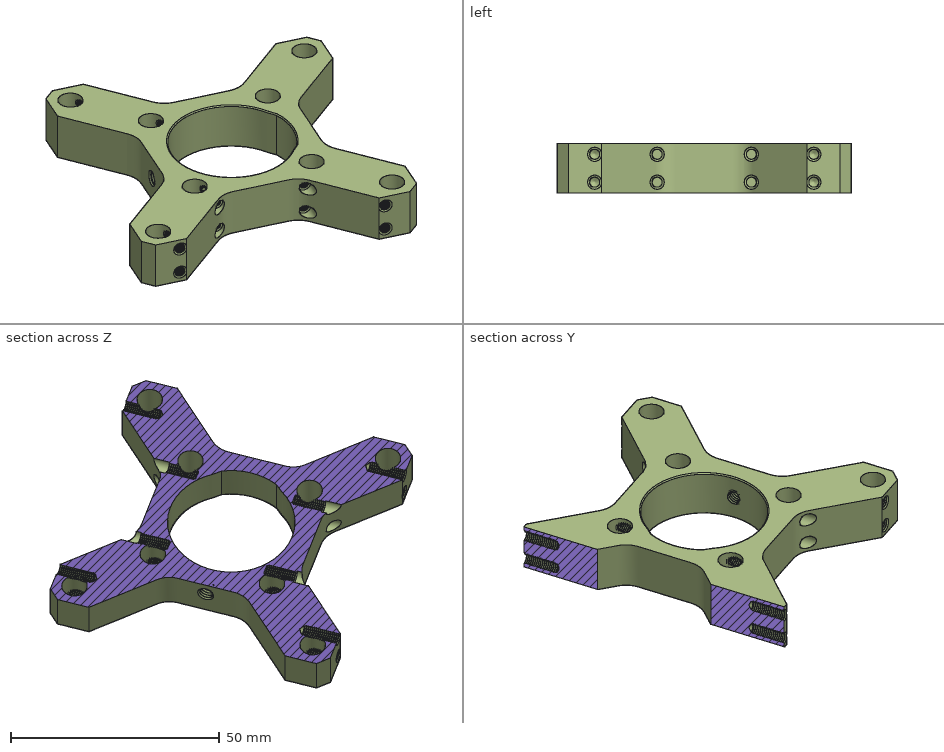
import math

import cadquery as cq

thickness = 12.0
hub_width = 40.8
arm_width = 15.0
arm_tip_overhang = 5.6
hub_arm_fillet = 6.5

clearance_diameter = 6.0
inner_hole_offset = 15.0
outer_hole_offset = 30.0

bore_radius = 15.25
relief_radius = 15.75
relief_half_angle = 26.0
blend_angle = 9.0
bore_chamfer = 0.3

clamp_minor_diameter = 3.2
clamp_major_diameter = 4.0
clamp_pitch = 0.7
clamp_thread_turns = 9

side_minor_diameter = 2.4
side_major_diameter = 3.0
side_mouth_diameter = 3.4
side_pitch = 0.5
side_hole_spacing_z = 6.7
side_hole_inset = 3.7
inner_thread_setback = 0.7
inner_thread_turns = 15
outer_thread_turns = 18
drill_point_angle = 118.0

half_thickness = thickness / 2
half_hub = hub_width / 2
outer_reach = outer_hole_offset + arm_width / 2 / math.sqrt(2)


def make_arm(angle):
    """One diagonal arm with its end bevelled to a blunt tip."""
    half_width = arm_width / 2
    bevel_start = outer_hole_offset * math.sqrt(2)
    tip = bevel_start + arm_tip_overhang
    tip_half_width = half_width - arm_tip_overhang
    outline = [
        (0, -half_width),
        (bevel_start, -half_width),
        (tip, -tip_half_width),
        (tip, tip_half_width),
        (bevel_start, half_width),
        (0, half_width),
    ]
    arm = cq.Workplane("XY", origin=(0, 0, -half_thickness)).polyline(outline).close().extrude(thickness)
    return arm.rotate((0, 0, 0), (0, 0, 1), angle)


def inside_corner_selector():
    """Selects the eight vertical edges where the arms leave the hub."""
    near = half_hub - arm_width / math.sqrt(2)
    reach = 0.1
    corners = [
        (x_side * x, y_side * y)
        for x_side in (-1, 1)
        for y_side in (-1, 1)
        for x, y in ((near, half_hub), (half_hub, near))
    ]
    boxes = [
        cq.selectors.BoxSelector((x - reach, y - reach, -thickness), (x + reach, y + reach, thickness))
        for x, y in corners
    ]
    selector = boxes[0]
    for box in boxes[1:]:
        selector = selector + box
    return selector


def make_plate():
    """Hub and arms joined, with rounded inside corners."""
    plate = cq.Workplane("XY").box(hub_width, hub_width, thickness)
    for angle in (45, 135, 225, 315):
        plate = plate.union(make_arm(angle))
    return plate.edges("|Z").edges(inside_corner_selector()).fillet(hub_arm_fillet)


def bore_point(radius, angle_from_y):
    """Point on a circle about the bore axis, measured clockwise from +Y."""
    angle = math.radians(angle_from_y)
    return (radius * math.sin(angle), radius * math.cos(angle))


def bore_outline(z, growth):
    """Closed bore outline at height z, offset outward by growth."""
    bore = bore_radius + growth
    relief = relief_radius + growth
    bore_end = relief_half_angle + blend_angle
    return (
        cq.Workplane("XY", origin=(0, 0, z))
        .moveTo(*bore_point(relief, -relief_half_angle))
        .threePointArc((0, relief), bore_point(relief, relief_half_angle))
        .lineTo(*bore_point(bore, bore_end))
        .threePointArc((0, -bore), bore_point(bore, -bore_end))
        .close()
    )


def make_bore():
    """Relieved bore, chamfered at the top and bottom faces."""
    bore = bore_outline(-half_thickness, 0).extrude(thickness)
    for side in (-1, 1):
        rim = bore_outline(side * half_thickness, bore_chamfer).val()
        throat = bore_outline(side * (half_thickness - bore_chamfer), 0).val()
        bore = bore.union(cq.Workplane(cq.Solid.makeLoft([rim, throat], True)))
    return bore


def cut_clearance_holes(plate):
    """Vertical through holes, two on each arm diagonal."""
    for offset in (inner_hole_offset, outer_hole_offset):
        holes = (
            cq.Workplane("XY", origin=(0, 0, -half_thickness))
            .rect(2 * offset, 2 * offset, forConstruction=True)
            .vertices()
            .circle(clearance_diameter / 2)
            .extrude(thickness)
        )
        plate = plate.cut(holes)
    return plate


def make_thread(minor_diameter, major_diameter, mouth_diameter, pitch, turns, point_length):
    """Cutter for a tapped hole running along +Y from the origin, its thread shown as ring grooves."""
    minor = minor_diameter / 2
    major = major_diameter / 2
    profile = [(0, 0), (mouth_diameter / 2, 0), (minor, 0.5 * pitch)]
    for turn in range(1, turns):
        profile.append((major, turn * pitch))
        profile.append((minor, (turn + 0.5) * pitch))
    end = turns * pitch
    profile.append((minor, end))
    profile.append((0, end + point_length))
    return cq.Workplane("XY").polyline(profile).close().revolve(360, (0, 0), (0, 1))


def cut_clamp_hole(plate):
    """Tapped hole in the middle of the -Y hub face, opening into the bore."""
    cutter = make_thread(
        clamp_minor_diameter, clamp_major_diameter, clamp_major_diameter, clamp_pitch, clamp_thread_turns, 0
    )
    return plate.cut(cutter.translate((0, -half_hub, 0)))


def make_side_thread(turns, point_length):
    """M3 thread cutter running along +X from the origin."""
    cutter = make_thread(
        side_minor_diameter, side_major_diameter, side_mouth_diameter, side_pitch, turns, point_length
    )
    return cutter.rotate((0, 0, 0), (0, 0, 1), -90)


def make_outer_side_hole():
    """Tapped hole with a drill point, running toward +X from the arm end face."""
    point_length = side_minor_diameter / 2 / math.tan(math.radians(drill_point_angle / 2))
    cutter = make_side_thread(outer_thread_turns, point_length)
    return cutter.translate((-outer_reach, 0, 0))


def make_inner_side_hole():
    """Flat-bottomed hole along +X: plain to just past the hub face plane, then tapped."""
    cutter = make_side_thread(inner_thread_turns, 0)
    thread_start = half_hub - inner_thread_setback
    lead = (
        cq.Workplane("YZ", origin=(-outer_reach, 0, 0))
        .circle(side_mouth_diameter / 2)
        .extrude(outer_reach - thread_start)
    )
    return cutter.translate((-thread_start, 0, 0)).union(lead)


def cut_side_holes(plate):
    """Pairs of screw holes beside every vertical hole, mirrored left to right."""
    hole_kinds = (
        (make_inner_side_hole(), inner_hole_offset - side_hole_inset),
        (make_outer_side_hole(), outer_hole_offset - side_hole_inset),
    )
    for left_cutter, y in hole_kinds:
        for cutter in (left_cutter, left_cutter.mirror("YZ")):
            for y_side in (-1, 1):
                for z_side in (-1, 1):
                    plate = plate.cut(cutter.translate((0, y_side * y, z_side * side_hole_spacing_z / 2)))
    return plate


result = make_plate().cut(make_bore())
result = cut_clearance_holes(result)
result = cut_clamp_hole(result)
result = cut_side_holes(result)